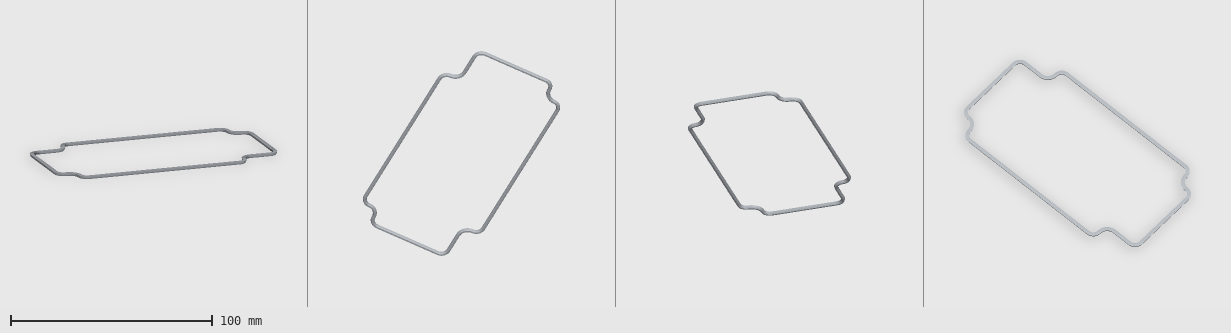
import cadquery as cq
import math

size_x = 62.5
size_y = 117.5
height = 1.5

strip_width = 2.0
shoulder_height = 0.6
side_taper = 0.2
bottom_taper = 0.4

convex_radius = 4.0
concave_radius = 5.3
notch_depth = convex_radius + concave_radius

side_x = (size_x - strip_width) / 2
end_y = (size_y - strip_width) / 2
neck_x = side_x - notch_depth
short_shelf_y = end_y - notch_depth
long_shelf_y = 38.3

DIAGONAL = math.sqrt(0.5)


def bend(path, end, center, radius, out_x, out_y):
    """Add a quarter bend whose midpoint lies diagonally (out_x, out_y) from its center."""
    middle = (center[0] + out_x * radius * DIAGONAL, center[1] + out_y * radius * DIAGONAL)
    return path.threePointArc(middle, end)


def half_loop(path, side):
    """Trace half the loop: one end bar, a long-neck notch, a side bar and a short notch.

    side = 1 runs clockwise from the +Y end; side = -1 is the same half turned by 180 degrees.
    """
    def place(x, y):
        return (side * x, side * y)

    def add_bend(path, end, center, radius, out_x, out_y):
        return bend(path, place(*end), place(*center), radius, side * out_x, side * out_y)

    bar_x = neck_x - convex_radius
    notch_x = neck_x + concave_radius
    upper_y = long_shelf_y + concave_radius
    side_top_y = long_shelf_y - convex_radius
    side_bottom_y = -short_shelf_y + convex_radius
    shelf_y = -short_shelf_y
    lower_y = shelf_y - concave_radius
    corner_y = end_y - convex_radius

    path = path.lineTo(*place(bar_x, end_y))
    path = add_bend(path, (neck_x, corner_y), (bar_x, corner_y), convex_radius, 1, 1)
    path = path.lineTo(*place(neck_x, upper_y))
    path = add_bend(path, (notch_x, long_shelf_y), (notch_x, upper_y), concave_radius, -1, -1)
    path = add_bend(path, (side_x, side_top_y), (notch_x, side_top_y), convex_radius, 1, 1)
    path = path.lineTo(*place(side_x, side_bottom_y))
    path = add_bend(path, (notch_x, shelf_y), (notch_x, side_bottom_y), convex_radius, 1, -1)
    path = add_bend(path, (neck_x, lower_y), (notch_x, lower_y), concave_radius, -1, 1)
    path = add_bend(path, (bar_x, -end_y), (bar_x, lower_y), convex_radius, 1, -1)
    return path.lineTo(*place(0, -end_y))


centerline = cq.Workplane("XY").workplane(offset=height).moveTo(0, end_y)
centerline = half_loop(centerline, 1)
centerline = half_loop(centerline, -1)
centerline = centerline.wire()

half_top = strip_width / 2
half_shoulder = half_top - side_taper
half_bottom = half_shoulder - bottom_taper
section = (
    cq.Workplane("YZ")
    .moveTo(end_y - half_bottom, 0)
    .lineTo(end_y + half_bottom, 0)
    .lineTo(end_y + half_shoulder, shoulder_height)
    .lineTo(end_y + half_top, height)
    .lineTo(end_y - half_top, height)
    .lineTo(end_y - half_shoulder, shoulder_height)
    .close()
)

result = section.sweep(centerline)